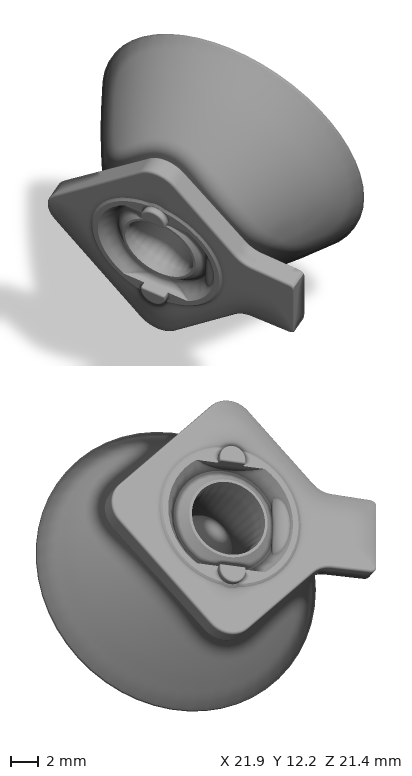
import cadquery as cq
import math

FRONT_DIRECTION = cq.Vector(0, -1, 0)

lens_back_y = 11.54
lens_rim_radius = 10.7
lens_rim_thickness = 0.2
lens_neck_radius = 5.2
lens_bulge = 0.24

plate_thickness = 1.7
plate_tip = 9.04
corner_radius = 2.0
plate_edge_fillet = 0.18
plate_back_slope = math.radians(1.1)
tab_end_x = 11.2
tab_root_half_width = 2.88
tab_draft = math.radians(1.3)
tab_corner_radius = 0.5
tab_trim = 0.1
collar_height = 0.15

ring_height = 0.14
ring_radius = 5.4
ring_slope_width = 0.2
lobe_radius = 1.25

peg_radius = 1.0
peg_center_z = 4.28
peg_height = 0.52
peg_edge_fillet = 0.13

recess_front_radius = 4.78
recess_floor_radius = 3.94
recess_floor_y = 1.12
recess_half_height = 4.0

nose_tip_y = 0.32
nose_tip_radius = 3.0
nose_base_radius = 3.82
bore_radius = 2.8
bore_end_radius = 2.26
bore_depth = 5.5
dome_height = 1.2

pad_inner_x = 3.55
pad_inner_y = 0.82
pad_arc_middle = (3.78, 0.53)
pad_outer_x = 4.75
pad_outer_y = 0.08

ring_front_y = -ring_height
collar_back_y = plate_thickness + collar_height


def front_cone(center_z, base_radius, tip_radius, height):
    """Frustum standing on the plate front and narrowing toward -Y."""
    base_center = cq.Vector(0, 0, center_z)
    cone = cq.Solid.makeCone(base_radius, tip_radius, height, base_center, FRONT_DIRECTION)
    return cq.Workplane(obj=cone)


def revolve_profile(profile):
    """Turn a profile drawn as (radius, y) about the Y axis."""
    return profile.close().revolve(360, (0, 0, 0), (0, 1, 0))


def make_lens():
    rim_front_y = lens_back_y - lens_rim_thickness
    run = rim_front_y - collar_back_y
    rise = lens_rim_radius - lens_neck_radius
    chord = math.hypot(run, rise)
    flank_middle = (
        (lens_rim_radius + lens_neck_radius) / 2 + lens_bulge * run / chord,
        (rim_front_y + collar_back_y) / 2 - lens_bulge * rise / chord,
    )
    profile = (
        cq.Workplane("XY")
        .moveTo(0, 0)
        .lineTo(lens_neck_radius, 0)
        .lineTo(lens_neck_radius, collar_back_y)
        .threePointArc(flank_middle, (lens_rim_radius, rim_front_y))
        .lineTo(lens_rim_radius, lens_back_y)
        .lineTo(0, lens_back_y)
    )
    return revolve_profile(profile)


def make_plate():
    apex = plate_tip + corner_radius * (math.sqrt(2) - 1)
    tab_length_end = tab_end_x + tab_trim
    root_x = apex - tab_root_half_width
    end_half_width = tab_root_half_width - (tab_length_end - root_x) * math.tan(tab_draft)
    outline = [
        (-apex, 0),
        (0, -apex),
        (root_x, -tab_root_half_width),
        (tab_length_end, -end_half_width),
        (tab_length_end, end_half_width),
        (root_x, tab_root_half_width),
        (0, apex),
    ]
    plate = cq.Workplane("XZ").polyline(outline).close().extrude(-plate_thickness)
    plate = plate.edges("|Y and >X").fillet(tab_corner_radius)
    reach = 2 * apex
    diamond_edges = cq.selectors.BoxSelector(
        (-reach, -reach, -reach), (tab_end_x - corner_radius, reach, reach)
    )
    plate = plate.edges("|Y").edges(diamond_edges).fillet(corner_radius)

    slope_drop = apex * math.tan(plate_back_slope)
    side_profile = [
        (-apex, 0),
        (apex, 0),
        (apex, plate_thickness - slope_drop),
        (0, plate_thickness),
        (-apex, plate_thickness - slope_drop),
    ]
    side_plane = cq.Plane(origin=(0, 0, 0), xDir=(0, 0, 1), normal=(-1, 0, 0))
    sloped_slab = (
        cq.Workplane(side_plane).polyline(side_profile).close().extrude(2 * tab_length_end, both=True)
    )
    plate = plate.intersect(sloped_slab)
    plate = plate.edges("not (|X or |Y)").fillet(plate_edge_fillet)

    tab_cutter = cq.Workplane("YZ", origin=(tab_end_x, 0, 0)).rect(reach, reach).extrude(apex)
    return plate.cut(tab_cutter)


def make_ring():
    ring = front_cone(0, ring_radius, ring_radius - ring_slope_width, ring_height)
    for side in (1, -1):
        lobe = front_cone(side * peg_center_z, lobe_radius, lobe_radius - ring_slope_width, ring_height)
        ring = ring.union(lobe)
    return ring


def make_peg(side):
    """Round peg cut flat in line with the recess wall; side is +1 or -1 along Z."""
    peg = (
        cq.Workplane("XZ")
        .center(0, side * peg_center_z)
        .circle(peg_radius)
        .extrude(ring_height + peg_height)
    )
    outer_side = (
        cq.Workplane("XZ")
        .center(0, side * (recess_half_height + peg_radius))
        .rect(2 * peg_radius, 2 * peg_radius)
        .extrude(ring_height + peg_height)
    )
    peg = peg.intersect(outer_side)
    return peg.faces("<Y").edges().fillet(peg_edge_fillet)


def make_recess():
    profile = (
        cq.Workplane("XY")
        .moveTo(0, ring_front_y)
        .lineTo(recess_front_radius, ring_front_y)
        .lineTo(recess_floor_radius, recess_floor_y)
        .lineTo(0, recess_floor_y)
    )
    band = cq.Workplane("XY").box(2 * ring_radius, 2 * plate_thickness, 2 * recess_half_height)
    return revolve_profile(profile).intersect(band)


def make_nose():
    profile = (
        cq.Workplane("XY")
        .moveTo(0, nose_tip_y)
        .lineTo(nose_tip_radius, nose_tip_y)
        .lineTo(nose_base_radius, recess_floor_y)
        .lineTo(0, recess_floor_y)
    )
    return revolve_profile(profile)


def make_pad(recess):
    block = (
        cq.Workplane("XY", origin=(0, 0, -recess_half_height))
        .moveTo(pad_inner_x, recess_floor_y)
        .lineTo(pad_inner_x, pad_inner_y)
        .threePointArc(pad_arc_middle, (pad_outer_x, pad_outer_y))
        .lineTo(pad_outer_x, recess_floor_y)
        .close()
        .extrude(2 * recess_half_height)
    )
    return block.intersect(recess)


def make_bore():
    """Tapered bore whose end face domes back toward the mouth."""
    end_y = nose_tip_y + bore_depth
    half_angle = 2 * math.atan(dome_height / bore_end_radius)
    dome_radius = bore_end_radius / math.sin(half_angle)
    dome_middle = (
        dome_radius * math.sin(half_angle / 2),
        end_y - dome_height + dome_radius * (1 - math.cos(half_angle / 2)),
    )
    profile = (
        cq.Workplane("XY")
        .moveTo(0, nose_tip_y)
        .lineTo(bore_radius, nose_tip_y)
        .lineTo(bore_end_radius, end_y)
        .threePointArc(dome_middle, (0, end_y - dome_height))
    )
    return revolve_profile(profile)


recess = make_recess()
body = make_lens().union(make_plate()).union(make_ring())
body = body.cut(recess)
body = body.union(make_nose()).union(make_pad(recess))
for side in (1, -1):
    body = body.union(make_peg(side))
result = body.cut(make_bore())